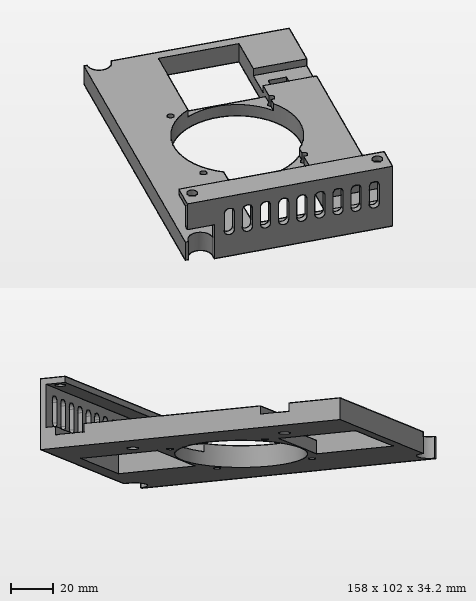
import cadquery as cq

BASE_LENGTH = 155.0
WIDTH = 102.0
BASE_HEIGHT = 10.5
CENTER_X = BASE_LENGTH / 2
CENTER_Y = WIDTH / 2

TOTAL_HEIGHT = 34.25
WALL_THICKNESS = 3.0
LIP_THICKNESS = 3.0
LIP_REACH = 13.0
LIP_HOLE_DIAMETER = 5.0
LIP_HOLE_INSET = 5.0

SLOT_COUNT = 9
SLOT_PITCH = 9.0
SLOT_WIDTH = 5.0
SLOT_HEIGHT = 15.0
FIRST_SLOT_Y = 20.9
SLOT_CENTER_Z = 19.8

CORNER_RADIUS = 5.9
CORNER_CENTER_Y = 7.5
WALL_CUT_TOP = 19.5

RIM = 5.0
WINDOW_FRONT_Y = 35.4
WINDOW_WIDTH = 40.0
WINDOW_BACK_Y = WINDOW_FRONT_Y + WINDOW_WIDTH
STEP_DEPTH = 4.0
STEP_Z = BASE_HEIGHT - STEP_DEPTH

BRIDGE_LENGTH = 64.0

FAN_DIAMETER = 62.8
FAN_SCREW_DIAMETER = 3.3
FAN_SCREW_SPACING = 50.0

MOUNT_SPACING = 80.0
MOUNT_SETBACK = 10.0
MOUNT_Y = WINDOW_BACK_Y + MOUNT_SETBACK
MOUNT_DIAMETER = 5.5
POCKET_SIZE = 9.0
POCKET_FLOOR = 3.5

CHANNEL_WIDTH = 15.0
LEFT_CHANNEL_END_X = CENTER_X - MOUNT_SPACING / 2 + POCKET_SIZE / 2
RIGHT_CHANNEL_END_X = BASE_LENGTH - RIM


def block(x_range, y_range, z_range):
    """Box spanning the given (low, high) range on each axis."""
    size = [high - low for low, high in (x_range, y_range, z_range)]
    corner = (x_range[0], y_range[0], z_range[0])
    return cq.Workplane("XY").box(*size, centered=False).translate(corner)


def upright_cylinders(points, diameter, z_range):
    """Vertical cylinders of one diameter at the given (x, y) points."""
    low, high = z_range
    plane = cq.Workplane("XY").workplane(offset=low)
    return plane.pushPoints(points).circle(diameter / 2).extrude(high - low)


def make_body():
    """Base plate, end wall and lip as one extruded profile."""
    outer_x = BASE_LENGTH + WALL_THICKNESS
    lip_x = outer_x - LIP_REACH
    lip_z = TOTAL_HEIGHT - LIP_THICKNESS
    profile = [
        (0, 0),
        (outer_x, 0),
        (outer_x, TOTAL_HEIGHT),
        (lip_x, TOTAL_HEIGHT),
        (lip_x, lip_z),
        (BASE_LENGTH, lip_z),
        (BASE_LENGTH, BASE_HEIGHT),
        (0, BASE_HEIGHT),
    ]
    return cq.Workplane("XZ").polyline(profile).close().extrude(-WIDTH)


def make_window():
    """Window through the plate, leaving a lowered bridge across its middle."""
    y_range = (WINDOW_FRONT_Y, WINDOW_BACK_Y)
    opening = block((RIM, BASE_LENGTH - RIM), y_range, (0, BASE_HEIGHT))
    bridge_x = (CENTER_X - BRIDGE_LENGTH / 2, CENTER_X + BRIDGE_LENGTH / 2)
    return opening.cut(block(bridge_x, y_range, (0, STEP_Z)))


def make_fan_opening():
    """Large fan bore with four screw holes around it."""
    z_range = (0, BASE_HEIGHT)
    offset = FAN_SCREW_SPACING / 2
    screws = [(CENTER_X + sx * offset, CENTER_Y + sy * offset) for sx in (-1, 1) for sy in (-1, 1)]
    bore = upright_cylinders([(CENTER_X, CENTER_Y)], FAN_DIAMETER, z_range)
    return bore.union(upright_cylinders(screws, FAN_SCREW_DIAMETER, z_range))


def make_channel(end_x):
    """Shallow channel running from the window to the back edge, ending at end_x."""
    x_range = (end_x - CHANNEL_WIDTH, end_x)
    return block(x_range, (WINDOW_BACK_Y, WIDTH), (STEP_Z, BASE_HEIGHT))


def make_mount(x):
    """Through hole with a square pocket above it."""
    hole = upright_cylinders([(x, MOUNT_Y)], MOUNT_DIAMETER, (0, BASE_HEIGHT))
    pocket = block(
        (x - POCKET_SIZE / 2, x + POCKET_SIZE / 2),
        (MOUNT_Y - POCKET_SIZE / 2, MOUNT_Y + POCKET_SIZE / 2),
        (POCKET_FLOOR, BASE_HEIGHT),
    )
    return hole.union(pocket)


def make_corner_reliefs():
    """Round bites at both front corners and the wall cutaway beside the right one."""
    centers = [(0, CORNER_CENTER_Y), (BASE_LENGTH, CORNER_CENTER_Y)]
    bites = upright_cylinders(centers, 2 * CORNER_RADIUS, (0, BASE_HEIGHT))
    wall_x = (BASE_LENGTH, BASE_LENGTH + WALL_THICKNESS)
    wall_y = (0, CORNER_CENTER_Y + CORNER_RADIUS)
    return bites.union(block(wall_x, wall_y, (0, WALL_CUT_TOP)))


def make_vent_slots():
    """Row of upright round-ended slots through the end wall."""
    centers = [(FIRST_SLOT_Y + i * SLOT_PITCH, SLOT_CENTER_Z) for i in range(SLOT_COUNT)]
    plane = cq.Workplane("YZ").workplane(offset=BASE_LENGTH)
    return plane.pushPoints(centers).slot2D(SLOT_HEIGHT, SLOT_WIDTH, 90).extrude(WALL_THICKNESS)


def make_lip_holes():
    """One hole near each end of the lip."""
    x = BASE_LENGTH - LIP_HOLE_INSET
    points = [(x, LIP_HOLE_INSET), (x, WIDTH - LIP_HOLE_INSET)]
    return upright_cylinders(points, LIP_HOLE_DIAMETER, (TOTAL_HEIGHT - LIP_THICKNESS, TOTAL_HEIGHT))


result = make_body()
result = result.cut(make_window())
result = result.cut(make_fan_opening())
for channel_end_x in (LEFT_CHANNEL_END_X, RIGHT_CHANNEL_END_X):
    result = result.cut(make_channel(channel_end_x))
for side in (-1, 1):
    result = result.cut(make_mount(CENTER_X + side * MOUNT_SPACING / 2))
result = result.cut(make_corner_reliefs())
result = result.cut(make_vent_slots())
result = result.cut(make_lip_holes())